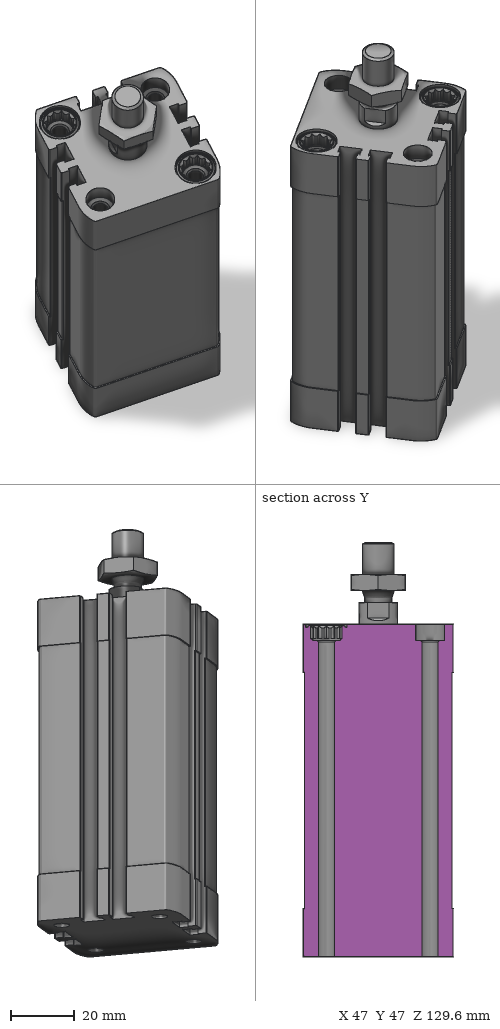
import cadquery as cq
import math

TOTAL_HEIGHT = 129.6
HOUSING_WIDTH = 47.0
HOUSING_HEIGHT = 104.1
CAP_HEIGHT = 15.2
BARREL_INSET = 0.45

HOLE_OFFSET = 16.2
CORNER_ARC_RADIUS = 12.0
CORNER_FILLET = 1.2

SLOT_PITCH = 9.7
SLOT_MOUTH_WIDTH = 5.5
SLOT_WIDTH = 7.0
SLOT_LIP = 2.9
SLOT_DEPTH = 5.8
SLOT_EDGE_FILLET = 0.3

BORE_DIA = 4.9
SEAT_CONE_DIA = 6.0
SEAT_CONE_DEPTH = 0.5
COUNTERBORE_DIA = 9.0
COUNTERBORE_DEPTH = 5.0

SOCKET_DIA = 12.8
RIM_OUTER_DIA = 12.0
RIM_CREST_DIA = 10.9
RIM_INNER_DIA = 10.2
RIM_RECESS = 0.4
RING_GROOVE_DEPTH = 0.9
TOOTH_TIP_DIA = 8.5
TOOTH_ROOT_DIA = 9.7
TOOTH_COUNT = 12
TOOTH_FLAT_ANGLE = 10.0
TOOTH_DEPTH = 4.5

ROD_DIA = 12.0
ROD_SHOULDER = 6.7
FLATS_WIDTH = 10.0
FLATS_BOTTOM = 2.0
FLATS_FLOOR_SLOPE = 40.0
NECK_DIA = 8.5
NECK_LENGTH = 1.5
NECK_BASE_FILLET = 0.2
RUNOUT_BLEND_RADIUS = 1.3
THREAD_DIA = 10.0
TIP_DIA = 8.0
TIP_CHAMFER = 0.5
EDGE_TOLERANCE = 0.01

NUT_SIDES = 6
NUT_FLATS = 17.0
NUT_THICKNESS = 5.0
NUT_STANDOFF = 10.5
NUT_BOTTOM = HOUSING_HEIGHT + NUT_STANDOFF
NUT_FACE_DIA = 16.7
NUT_CHAMFER_ANGLE = 15.0


def section(inset, bottom, height):
    """Slotted housing section with arced corners, its sides set in by the given amount."""
    half = HOUSING_WIDTH / 2 - inset
    arc_radius = CORNER_ARC_RADIUS - inset
    arc_reach = half - HOLE_OFFSET
    arc_drop = arc_radius - math.sqrt(arc_radius**2 - arc_reach**2)
    shoulder = half - arc_drop
    outline = (
        cq.Workplane("XY", origin=(0, 0, bottom))
        .moveTo(-HOLE_OFFSET, half)
        .lineTo(HOLE_OFFSET, half)
        .radiusArc((half, shoulder), arc_radius)
        .lineTo(half, -shoulder)
        .radiusArc((HOLE_OFFSET, -half), arc_radius)
        .lineTo(-HOLE_OFFSET, -half)
        .radiusArc((-half, -shoulder), arc_radius)
        .lineTo(-half, shoulder)
        .radiusArc((-HOLE_OFFSET, half), arc_radius)
        .close()
    )
    solid = outline.extrude(height)
    solid = solid.edges("|Z and (<X or >X)").fillet(CORNER_FILLET)

    slots = slot_pair(inset, bottom, height)
    for turn in (0, 180, 270):
        solid = solid.cut(slots.rotate((0, 0, 0), (0, 0, 1), turn))
    return solid


def slot_pair(face_inset, bottom, height):
    """Two T-slots open toward -Y, their mouths flared by rounded edges at the given face."""
    face = face_inset - HOUSING_WIDTH / 2
    floor = SLOT_DEPTH - HOUSING_WIDTH / 2
    lip = SLOT_LIP - HOUSING_WIDTH / 2
    mouth = SLOT_MOUTH_WIDTH / 2
    flare = mouth + SLOT_EDGE_FILLET
    undercut = SLOT_WIDTH / 2
    rounded = face + SLOT_EDGE_FILLET
    cutter = cq.Workplane("XY")
    for x in (-SLOT_PITCH / 2, SLOT_PITCH / 2):
        slot = (
            cq.Workplane("XY", origin=(x, 0, bottom))
            .moveTo(-flare, face)
            .radiusArc((-mouth, rounded), SLOT_EDGE_FILLET)
            .lineTo(-mouth, lip)
            .lineTo(-undercut, lip)
            .lineTo(-undercut, floor)
            .lineTo(undercut, floor)
            .lineTo(undercut, lip)
            .lineTo(mouth, lip)
            .lineTo(mouth, rounded)
            .radiusArc((flare, face), SLOT_EDGE_FILLET)
            .close()
            .extrude(height)
        )
        cutter = cutter.add(slot)
    return cutter.combine()


def revolve_about_z(points):
    """Solid of revolution from (radius, height) points."""
    return cq.Workplane("XZ").polyline(points).close().revolve(360, (0, 0), (0, 1))


def bore():
    """Through bore with a conical mouth in the floor of the counterbore."""
    seat = HOUSING_HEIGHT - COUNTERBORE_DEPTH
    return revolve_about_z([
        (0, 0),
        (BORE_DIA / 2, 0),
        (BORE_DIA / 2, seat - SEAT_CONE_DEPTH),
        (SEAT_CONE_DIA / 2, seat),
        (0, seat),
    ])


def counterbored_hole(dia):
    """Through bore below a flat-bottomed counterbore of the given diameter."""
    counterbore = (
        cq.Workplane("XY", origin=(0, 0, HOUSING_HEIGHT))
        .circle(dia / 2)
        .extrude(-COUNTERBORE_DEPTH)
    )
    return bore().union(counterbore)


def tooth_outline_points():
    """Star outline: narrow flat tooth tips alternating with pointed roots."""
    pitch = 360 / TOOTH_COUNT
    points = []
    for tooth in range(TOOTH_COUNT):
        root_angle = tooth * pitch
        tip_angle = root_angle + pitch / 2
        for dia, angle in (
            (TOOTH_ROOT_DIA, root_angle),
            (TOOTH_TIP_DIA, tip_angle - TOOTH_FLAT_ANGLE / 2),
            (TOOTH_TIP_DIA, tip_angle + TOOTH_FLAT_ANGLE / 2),
        ):
            turn = math.radians(angle)
            points.append((dia / 2 * math.cos(turn), dia / 2 * math.sin(turn)))
    return points


def serrated_hole():
    """Counterbored hole with a toothed socket and a raised rim around its mouth."""
    top = HOUSING_HEIGHT
    crest = top - RIM_RECESS
    cone_apex = crest - RIM_INNER_DIA / 2
    mouth = revolve_about_z([
        (0, top),
        (SOCKET_DIA / 2, top),
        (SOCKET_DIA / 2, top - RING_GROOVE_DEPTH),
        (RIM_OUTER_DIA / 2, top - RING_GROOVE_DEPTH),
        (RIM_CREST_DIA / 2, crest),
        (RIM_INNER_DIA / 2, crest),
        (TOOTH_TIP_DIA / 2, cone_apex + TOOTH_TIP_DIA / 2),
        (0, cone_apex + TOOTH_TIP_DIA / 2),
    ])
    teeth = (
        cq.Workplane("XY", origin=(0, 0, top - TOOTH_DEPTH))
        .polyline(tooth_outline_points())
        .close()
        .extrude(TOOTH_DEPTH)
    )
    return counterbored_hole(TOOTH_TIP_DIA).union(teeth).union(mouth)


def make_housing():
    upper_cap_bottom = HOUSING_HEIGHT - CAP_HEIGHT
    housing = section(BARREL_INSET, CAP_HEIGHT, upper_cap_bottom - CAP_HEIGHT)
    for cap_bottom in (0, upper_cap_bottom):
        housing = housing.union(section(0, cap_bottom, CAP_HEIGHT))

    for side in (-1, 1):
        x = side * HOLE_OFFSET
        housing = housing.cut(counterbored_hole(COUNTERBORE_DIA).translate((x, -x, 0)))
        housing = housing.cut(serrated_hole().translate((x, x, 0)))
    return housing


def make_rod():
    shoulder = HOUSING_HEIGHT + ROD_SHOULDER
    neck_top = shoulder + NECK_LENGTH
    rod = revolve_about_z([
        (0, HOUSING_HEIGHT),
        (ROD_DIA / 2, HOUSING_HEIGHT),
        (ROD_DIA / 2, shoulder),
        (NECK_DIA / 2, shoulder),
        (NECK_DIA / 2, neck_top),
        (THREAD_DIA / 2, NUT_BOTTOM),
        (THREAD_DIA / 2, TOTAL_HEIGHT - TIP_CHAMFER),
        (TIP_DIA / 2, TOTAL_HEIGHT),
        (0, TOTAL_HEIGHT),
    ])
    for height, radius in ((shoulder, NECK_BASE_FILLET), (neck_top, RUNOUT_BLEND_RADIUS)):
        at_height = cq.selectors.BoxSelector(
            (-NECK_DIA, -NECK_DIA, height - EDGE_TOLERANCE),
            (NECK_DIA, NECK_DIA, height + EDGE_TOLERANCE),
        )
        neck_edge = rod.edges(at_height).edges("%CIRCLE").edges(cq.selectors.RadiusNthSelector(0))
        rod = neck_edge.fillet(radius)

    inner = FLATS_WIDTH / 2
    outer = ROD_DIA / 2
    floor = HOUSING_HEIGHT + FLATS_BOTTOM
    floor_drop = (outer - inner) * math.tan(math.radians(FLATS_FLOOR_SLOPE))
    flat_cutter = (
        cq.Workplane("YZ", origin=(-outer, 0, 0))
        .polyline([(inner, floor), (outer, floor - floor_drop), (outer, shoulder), (inner, shoulder)])
        .close()
        .extrude(ROD_DIA)
    )
    return rod.cut(flat_cutter).cut(flat_cutter.mirror("XZ"))


def make_nut():
    corner_dia = NUT_FLATS / math.cos(math.pi / NUT_SIDES)
    hexagon = (
        cq.Workplane("XY")
        .polygon(NUT_SIDES, corner_dia)
        .extrude(NUT_THICKNESS)
        .rotate((0, 0, 0), (0, 0, 1), 90)
    )
    face = NUT_FACE_DIA / 2
    corner = corner_dia / 2
    drop = (corner - face) * math.tan(math.radians(NUT_CHAMFER_ANGLE))
    envelope = revolve_about_z([
        (0, 0),
        (face, 0),
        (corner, drop),
        (corner, NUT_THICKNESS - drop),
        (face, NUT_THICKNESS),
        (0, NUT_THICKNESS),
    ])
    thread_hole = cq.Workplane("XY").circle(THREAD_DIA / 2).extrude(NUT_THICKNESS)
    nut = hexagon.intersect(envelope).cut(thread_hole)
    return nut.translate((0, 0, NUT_BOTTOM))


housing = make_housing()
rod = make_rod()
nut = make_nut()
result = cq.Compound.makeCompound([housing.val(), rod.val(), nut.val()])